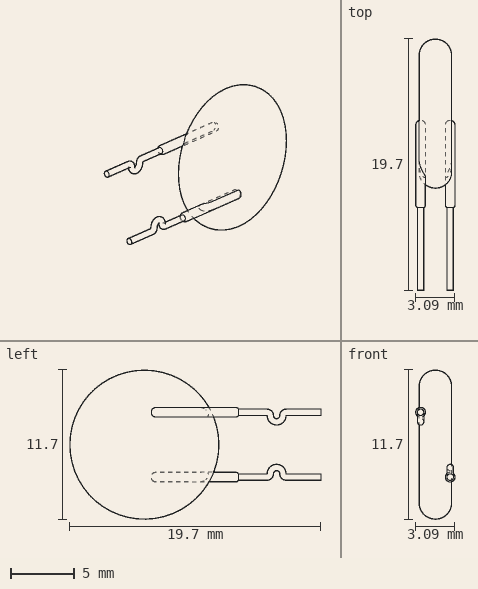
import cadquery as cq
import math

disc_radius = 5.85
disc_thickness = 2.56

lead_offset_x = 1.16
lead_offset_z = 2.55
lead_tip_y = -13.85
wire_radius = 0.25
wire_start_y = -3.94

coat_radius = 0.385
coat_start_y = -0.53
coat_end_y = -7.39
start_round = 0.35
end_round = 0.22

kink_start_y = -9.61
kink_radius = 0.5
elbow_margin = 0.004
elbow_radius = wire_radius + elbow_margin
kink_end_y = kink_start_y - 2 * (kink_radius + elbow_radius)


def make_disc():
    """Solid disc with a full round around its rim."""
    half = disc_thickness / 2
    flat_radius = disc_radius - half
    profile = (
        cq.Workplane("XY")
        .moveTo(-half, 0)
        .lineTo(-half, flat_radius)
        .threePointArc((0, disc_radius), (half, flat_radius))
        .lineTo(half, 0)
        .close()
    )
    return profile.revolve(360, (0, 0, 0), (1, 0, 0))


def rod(radius, start_y, end_y):
    """Round rod on the Y axis, running from start_y toward -Y."""
    return cq.Workplane("XZ", origin=(0, start_y, 0)).circle(radius).extrude(start_y - end_y)


def make_coat():
    """Coated stretch: both ends rounded."""
    coat = rod(coat_radius, coat_start_y, coat_end_y)
    coat = coat.faces(">Y").fillet(start_round)
    return coat.faces("<Y").fillet(end_round)


def make_wire():
    """Bare wire with its kink: elbow down, U-turn and elbow back into line."""
    first_leg_y = kink_start_y - elbow_radius
    last_leg_y = kink_end_y + elbow_radius
    middle_y = (kink_start_y + kink_end_y) / 2
    elbow_mid = elbow_radius * math.sqrt(0.5)
    path = (
        cq.Workplane("YZ")
        .moveTo(wire_start_y, 0)
        .lineTo(kink_start_y, 0)
        .threePointArc(
            (kink_start_y - elbow_mid, elbow_mid - elbow_radius), (first_leg_y, -elbow_radius)
        )
        .threePointArc((middle_y, -elbow_radius - kink_radius), (last_leg_y, -elbow_radius))
        .threePointArc((kink_end_y + elbow_mid, elbow_mid - elbow_radius), (kink_end_y, 0))
        .lineTo(lead_tip_y, 0)
    )
    return cq.Workplane("XZ", origin=(0, wire_start_y, 0)).circle(wire_radius).sweep(path)


def make_lead():
    """Upper lead on the -X face: coat, bare wire, kink and straight tip."""
    lead = make_coat().union(make_wire())
    return lead.translate((-lead_offset_x, 0, lead_offset_z))


leads = []
for turn in (0, 180):
    leads.append(make_lead().rotate((0, 0, 0), (0, 1, 0), turn))

disc = make_disc()
for lead in leads:
    disc = disc.cut(lead)

result = cq.Compound.makeCompound([disc.solids().val(), *[lead.solids().val() for lead in leads]])